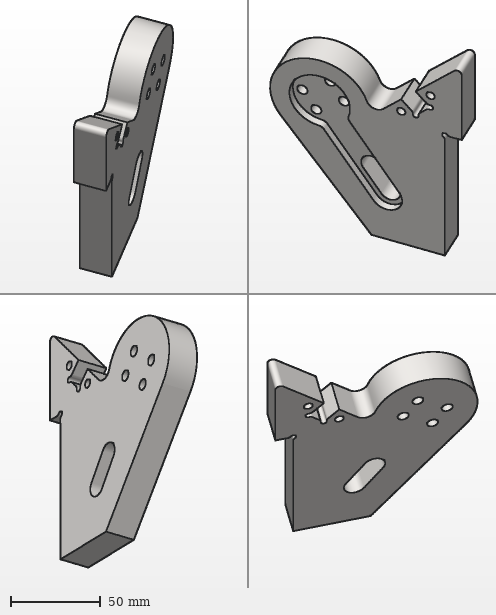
import cadquery as cq
import math

thickness = 19.0
height = 139.8
depth = 115.9

head_radius = 30.0
head_y = depth - head_radius
head_z = 88.9
valley_radius = 6.0

foot_y = 10.2
foot_back_y = 54.5
foot_back_z = 0.21
step_z = 89.2

tip_radius = 2.7
apex_z = height + math.sqrt(2) * tip_radius

notch_y = 27.8
notch_z = apex_z - notch_y
notch_half_diagonal = 8.8
relief_radius = 1.7
relief_blend_radius = 2.8
pin_hole_diameter = 5.0
pin_offset = 9.0

arm_angle = math.radians(54.8)
arm_length = 69.9
arm_radius = 9.5
pocket_radius = 18.3
pocket_depth = 5.0
pocket_blend_radius = 4.0
slot_length = 19.3
slot_radius = 6.3

bolt_hole_diameter = 6.3
bolt_circle_radius = 12.6
bolt_angles = (0, 70.4, 180, 250.4)

notch_outer = (notch_y, notch_z)
notch_inner_high = (notch_y - notch_half_diagonal, notch_z - notch_half_diagonal)
notch_inner_low = (notch_y, notch_z - 2 * notch_half_diagonal)
notch_peak = (notch_y + notch_half_diagonal, notch_z - notch_half_diagonal)


def cylinder(y, z, radius, length=thickness):
    return cq.Workplane("YZ").center(y, z).circle(radius).extrude(length)


def near(y, z):
    """Selector for the thickness edge closest to a point of the outline."""
    return cq.selectors.NearestToPointSelector((thickness / 2, y, z))


def rounded_bar(start, end, radius, length):
    """Straight bar with round ends centred on two points."""
    dy = end[0] - start[0]
    dz = end[1] - start[1]
    return (
        cq.Workplane("YZ")
        .center((start[0] + end[0]) / 2, (start[1] + end[1]) / 2)
        .slot2D(math.hypot(dy, dz) + 2 * radius, 2 * radius, math.degrees(math.atan2(dz, dy)))
        .extrude(length)
    )


def along_arm(distance):
    """Point on the arm axis, measured from the head centre."""
    return (head_y - distance * math.cos(arm_angle), head_z - distance * math.sin(arm_angle))


def head_tangent_point():
    """Where the sloping back edge touches the round head."""
    dy = foot_back_y - head_y
    dz = foot_back_z - head_z
    angle = math.atan2(dz, dy) + math.acos(head_radius / math.hypot(dy, dz))
    return (head_y + head_radius * math.cos(angle), head_z + head_radius * math.sin(angle))


def make_plate():
    flank_run = ((head_y - notch_peak[0]) - (head_z - notch_peak[1])) / 2
    outline = [
        head_tangent_point(),
        (foot_back_y, foot_back_z),
        (foot_y, 0),
        (foot_y, step_z),
        (0, step_z),
        (0, apex_z),
        notch_outer,
        notch_inner_high,
        notch_inner_low,
        notch_peak,
        (notch_peak[0] + flank_run, notch_peak[1] - flank_run),
        (head_y, head_z),
    ]
    plate = cq.Workplane("YZ").polyline(outline).close().extrude(thickness)
    plate = plate.edges("|X").edges(near(0, apex_z)).fillet(tip_radius)
    plate = plate.union(cylinder(head_y, head_z, head_radius))

    gap = abs(head_y - notch_peak[0] + head_z - notch_peak[1]) / math.sqrt(2)
    run = flank_run - math.sqrt((head_radius**2 - gap**2) / 2)
    return plate.edges("|X").edges(near(notch_peak[0] + run, notch_peak[1] - run)).fillet(valley_radius)


def cut_relief(plate, corner, wall_angles):
    """Round relief on an inner corner, blended into both walls."""
    y, z = corner
    plate = plate.cut(cylinder(y, z, relief_radius))
    for wall_angle in wall_angles:
        angle = math.radians(wall_angle)
        mouth = near(y + relief_radius * math.cos(angle), z + relief_radius * math.sin(angle))
        plate = plate.edges("|X").edges(mouth).fillet(relief_blend_radius)
    return plate


def make_pocket():
    pocket = cylinder(head_y, head_z, pocket_radius, pocket_depth)
    pocket = pocket.union(rounded_bar(along_arm(0), along_arm(arm_length), arm_radius, pocket_depth))
    neck = math.sqrt(pocket_radius**2 - arm_radius**2)
    neck_y, neck_z = along_arm(neck)
    for side in (-arm_radius, arm_radius):
        corner = near(neck_y - side * math.sin(arm_angle), neck_z + side * math.cos(arm_angle))
        pocket = pocket.edges("|X").edges(corner).fillet(pocket_blend_radius)
    return pocket


result = make_plate()
result = cut_relief(result, notch_inner_high, (45, -45))
result = cut_relief(result, notch_inner_low, (45, 135))
result = cut_relief(result, (foot_y, step_z), (180, 270))
result = result.cut(make_pocket())
result = result.cut(
    rounded_bar(along_arm(arm_length - slot_length), along_arm(arm_length), slot_radius, thickness)
)

for bolt_angle in bolt_angles:
    angle = math.radians(bolt_angle)
    bolt_y = head_y - bolt_circle_radius * math.cos(angle)
    bolt_z = head_z + bolt_circle_radius * math.sin(angle)
    result = result.cut(cylinder(bolt_y, bolt_z, bolt_hole_diameter / 2))

pin_centres = [
    (notch_outer[0] - pin_offset, notch_outer[1]),
    (notch_peak[0], notch_peak[1] - pin_offset),
]
for pin_y, pin_z in pin_centres:
    result = result.cut(cylinder(pin_y, pin_z, pin_hole_diameter / 2))